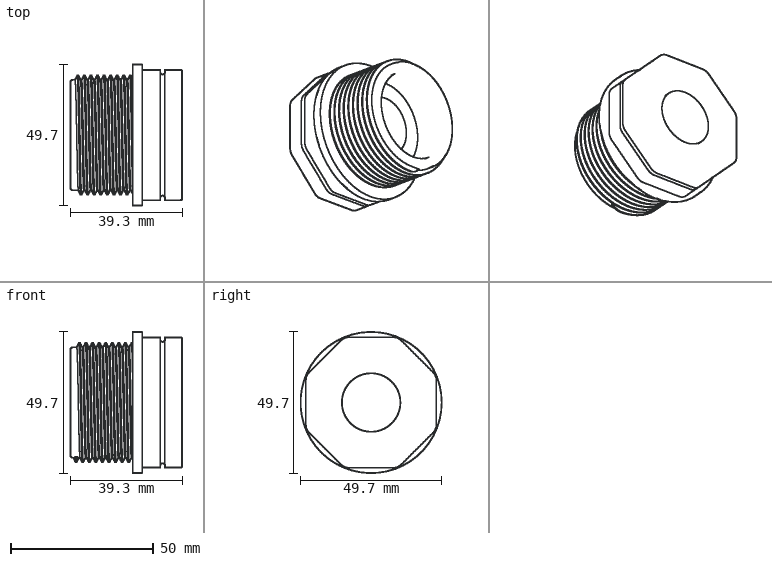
import cadquery as cq
import math

total_length = 39.3
flange_start = 21.9
flange_end = 25.35
flange_diameter = 49.7

thread_major_diameter = 41.91
thread_depth = 1.48
barrel_radius = thread_major_diameter / 2 - thread_depth
bore_radius = 15.85
bore_depth = 14.3
passage_radius = 10.25
lip_fillet = 1.0

inch = 25.4
turns_per_inch = 11
thread_pitch = inch / turns_per_inch
thread_turns = 9
thread_start = 2.06
crest_width = 0.4
root_width = 1.9
thread_embed = 0.2
runout_radius = 5.4
runout_angle = 60

side_count = 8
across_flats = 45.8
corner_fillet = 4.0
head_end_fillet = 0.5
flange_fillet = 0.35

groove_width = 1.65
groove_center = 32.45
groove_bottom_radius = 21.35


def cylinder(radius, start, end):
    """Cylinder on the X axis between two X stations."""
    return cq.Workplane("YZ", origin=(start, 0, 0)).circle(radius).extrude(end - start)


def make_barrel():
    barrel = cylinder(barrel_radius, 0, flange_end)
    return barrel.faces("<X").edges().fillet(lip_fillet)


def make_flange():
    flange = cylinder(flange_diameter / 2, flange_start, flange_end)
    return flange.faces(">X").edges().fillet(flange_fillet)


def make_head():
    across_corners = across_flats / math.cos(math.pi / side_count)
    head = (
        cq.Workplane("YZ", origin=(flange_end, 0, 0))
        .transformed(rotate=(0, 0, 180 / side_count))
        .polygon(side_count, across_corners)
        .extrude(total_length - flange_end)
        .edges("|X")
        .fillet(corner_fillet)
    )
    return head.faces(">X").edges().fillet(head_end_fillet)


def make_groove():
    """Ring with a full-round bottom, cut into the head."""
    half_width = groove_width / 2
    round_start = groove_bottom_radius + half_width
    outer_radius = flange_diameter / 2
    return (
        cq.Workplane("XY")
        .moveTo(groove_center - half_width, outer_radius)
        .lineTo(groove_center - half_width, round_start)
        .threePointArc((groove_center, groove_bottom_radius), (groove_center + half_width, round_start))
        .lineTo(groove_center + half_width, outer_radius)
        .close()
        .revolve(360, (0, 0, 0), (1, 0, 0))
    )


def thread_profile():
    """Trapezoidal ridge section at the bottom (-Z) of the barrel."""
    crest_radius = thread_major_diameter / 2
    flank_slope = (root_width - crest_width) / 2 / thread_depth
    base_radius = barrel_radius - thread_embed
    base_half = root_width / 2 + thread_embed * flank_slope
    crest_half = crest_width / 2
    return cq.Workplane("XZ").polyline([
        (thread_start - base_half, -base_radius),
        (thread_start - crest_half, -crest_radius),
        (thread_start + crest_half, -crest_radius),
        (thread_start + base_half, -base_radius),
    ]).close()


def make_thread():
    """Helical ridge that starts at -Z and ends inside the flange."""
    helix = cq.Wire.makeHelix(thread_pitch, thread_pitch * thread_turns, barrel_radius)
    helix = helix.rotate(cq.Vector(0, 0, 0), cq.Vector(0, 1, 0), 90)
    helix = helix.translate(cq.Vector(thread_start, 0, 0))
    return thread_profile().sweep(cq.Workplane(obj=helix), isFrenet=True)


def make_runout():
    """Curved lead-in that sinks the first turn into the barrel on the -Y side."""
    pivot_z = runout_radius - thread_major_diameter / 2
    axis_start = (thread_start, pivot_z)
    axis_end = (0, pivot_z)
    return thread_profile().revolve(runout_angle, axis_start, axis_end)


def make_bore():
    bore = cylinder(bore_radius, 0, bore_depth)
    return bore.union(cylinder(passage_radius, 0, total_length))


body = make_barrel().union(make_thread()).union(make_runout())
body = body.union(make_flange()).union(make_head())
body = body.cut(make_groove()).cut(make_bore())

smallest_circle = cq.selectors.RadiusNthSelector(0)
result = body.faces("<X").edges(smallest_circle).fillet(lip_fillet)